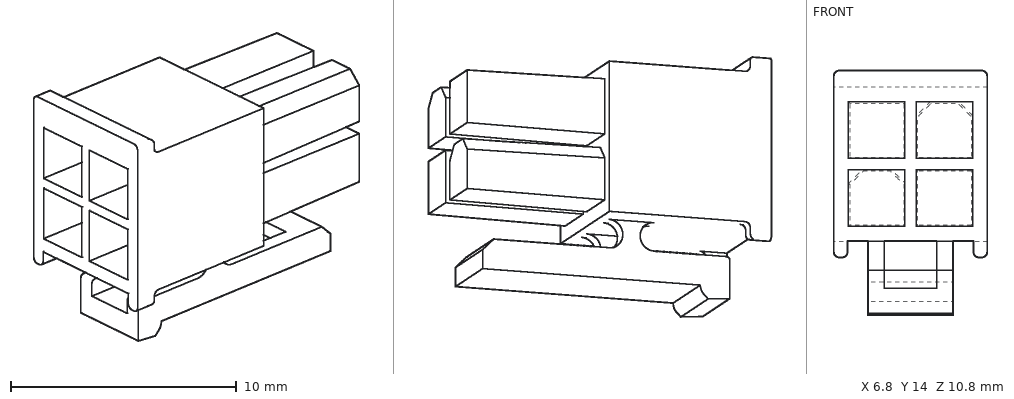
import cadquery as cq
import math

total_length = 14.0
body_width = 6.8
body_height = 6.83
body_length = 7.59
center_z = body_height / 2

flange_thickness = 1.01
flange_rise = 0.73
flange_radius = 0.25
ear_width = 0.62

cell_size = 2.5
cell_pitch = 3.0
side_wall = (body_width - cell_pitch - cell_size) / 2
cavity_depth = body_length - side_wall
prong_draft_angle = 0.5
prong_chamfer = 0.6

latch_width = 3.78
latch_front_y = 1.44
latch_rear_y = 13.0
latch_gap = 1.29
latch_thickness = 1.39
latch_top_z = -latch_gap
latch_bottom_z = latch_top_z - latch_thickness
latch_rear_chamfer = 0.52
latch_front_radius = 0.17

hook_tip_z = -3.28
hook_rear_y = 2.83
hook_tip_y = 2.46
hook_face_angle = 5.0
hook_rear_angle = 45.0

neck_center_y = 6.05
neck_thickness = 0.81

slot_width = 2.31
slot_depth = 0.8
slot_rear_y = 10.98
slot_undercut = 0.14


def make_housing():
    """Body and flange: the side profile intersected with the front outline."""
    r = flange_radius
    top_z = body_height + flange_rise
    half_width = body_width / 2
    side_profile = (
        cq.Workplane("YZ")
        .moveTo(0, -flange_rise)
        .lineTo(flange_thickness - r, -flange_rise)
        .tangentArcPoint((r, r))
        .lineTo(flange_thickness, -r)
        .tangentArcPoint((r, r))
        .lineTo(body_length, 0)
        .lineTo(body_length, body_height)
        .lineTo(flange_thickness + r, body_height)
        .tangentArcPoint((-r, r))
        .lineTo(flange_thickness, top_z - r)
        .tangentArcPoint((-r, r))
        .lineTo(0, top_z)
        .close()
        .extrude(half_width, both=True)
    )
    front_outline = (
        cq.Workplane("XZ")
        .rect(body_width, body_height + 2 * flange_rise)
        .extrude(-body_length)
        .translate((0, 0, center_z))
    )
    gap_between_ears = (
        cq.Workplane("XZ")
        .rect(body_width - 2 * ear_width, 2 * flange_rise)
        .extrude(-body_length)
        .translate((0, 0, -flange_rise))
    )
    front_outline = front_outline.cut(gap_between_ears)
    front_outline = front_outline.edges("|Y and (>Z or <Z)").fillet(r)
    return side_profile.intersect(front_outline)


def cell_center(column, row):
    """X and Z of a cell; column and row are -1 or +1."""
    return column * cell_pitch / 2, center_z + row * cell_pitch / 2


def make_cavity(column, row):
    x, z = cell_center(column, row)
    return cq.Workplane("XZ").center(x, z).rect(cell_size, cell_size).extrude(-cavity_depth)


def prong_section(keyed, inset):
    """Prong outline: a square whose two top corners are cut off when keyed."""
    half = cell_size / 2 - inset
    cut = prong_chamfer
    if keyed:
        top = [(half, half - cut), (half - cut, half), (cut - half, half), (-half, half - cut)]
    else:
        top = [(half, half), (-half, half)]
    return [(-half, -half), (half, -half)] + top


def make_prong(column, row):
    """Slightly tapered prong; the keyed shape alternates like a checkerboard."""
    keyed = column == row
    prong_length = total_length - body_length
    tip_inset = prong_length * math.tan(math.radians(prong_draft_angle))
    x, z = cell_center(column, row)
    return (
        cq.Workplane("XZ", origin=(x, body_length, z))
        .polyline(prong_section(keyed, 0))
        .close()
        .workplane(offset=-prong_length)
        .polyline(prong_section(keyed, tip_inset))
        .close()
        .loft(ruled=True)
    )


def make_latch():
    """Latch arm, hook and neck as one side profile, then the slot cut from it."""
    fr = latch_front_radius
    gap_radius = latch_gap / 2
    neck_front_y = neck_center_y - neck_thickness / 2
    neck_rear_y = neck_center_y + neck_thickness / 2
    front_arc_y = neck_front_y - gap_radius
    rear_arc_y = neck_rear_y + gap_radius
    hook_front_z = hook_tip_z + (hook_tip_y - latch_front_y) * math.tan(math.radians(hook_face_angle))

    slope = math.radians(hook_rear_angle)
    hook_run = hook_rear_y - hook_tip_y
    hook_drop = latch_bottom_z - hook_tip_z
    hook_radius = (hook_drop * math.tan(slope) - hook_run) / (1 / math.cos(slope) - 1)

    def hook_arc_point(angle):
        return (
            hook_rear_y - hook_radius * (1 - math.cos(angle)),
            latch_bottom_z - hook_radius * math.sin(angle),
        )

    arm = (
        cq.Workplane("YZ")
        .moveTo(latch_front_y, hook_front_z)
        .lineTo(latch_front_y, latch_top_z - fr)
        .tangentArcPoint((fr, fr))
        .lineTo(front_arc_y, latch_top_z)
        .threePointArc((neck_front_y, -gap_radius), (front_arc_y, 0))
        .lineTo(rear_arc_y, 0)
        .threePointArc((neck_rear_y, -gap_radius), (rear_arc_y, latch_top_z))
        .lineTo(latch_rear_y - latch_rear_chamfer, latch_top_z)
        .line(latch_rear_chamfer, -latch_rear_chamfer)
        .lineTo(latch_rear_y, latch_bottom_z)
        .lineTo(hook_rear_y, latch_bottom_z)
        .threePointArc(hook_arc_point(slope / 2), hook_arc_point(slope))
        .lineTo(hook_tip_y, hook_tip_z)
        .close()
        .extrude(latch_width / 2, both=True)
    )
    slot_floor_z = latch_top_z - slot_depth
    slot = (
        cq.Workplane("YZ")
        .moveTo(0, 0)
        .lineTo(0, slot_floor_z)
        .lineTo(slot_rear_y + slot_undercut, slot_floor_z)
        .lineTo(slot_rear_y, latch_top_z)
        .lineTo(slot_rear_y, 0)
        .close()
        .extrude(slot_width / 2, both=True)
    )
    return arm.cut(slot)


result = make_housing().union(make_latch())
for column in (-1, 1):
    for row in (-1, 1):
        result = result.union(make_prong(column, row))
        result = result.cut(make_cavity(column, row))